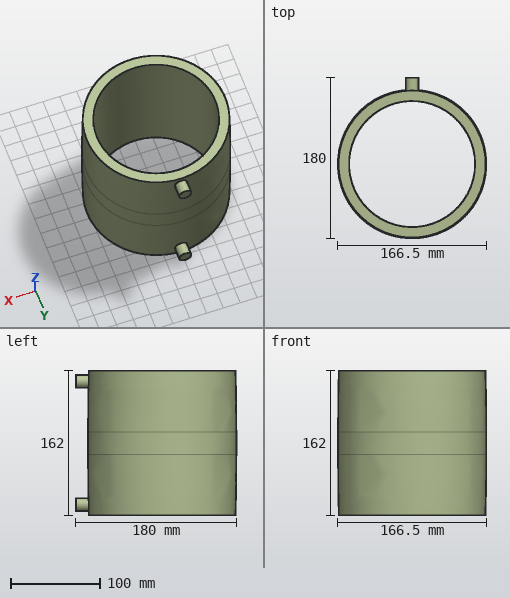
import cadquery as cq

length = 162.0
max_radius = 83.25
end_radius = 82.25
bore_diameter = 140.9
band_height = 25.0

pin_diameter = 14.5
overall_depth = 179.99
pin_end_distance = 12.0

half_length = length / 2
half_band = band_height / 2
bore_radius = bore_diameter / 2
pin_tip_y = overall_depth - max_radius
pin_height = half_length - pin_end_distance


def crown_radius():
    """Radius of a profile arc that leaves the band tangentially and drops to the end radius."""
    drop = max_radius - end_radius
    run = half_length - half_band
    return (run**2 + drop**2) / (2 * drop)


def make_barrel():
    """Revolve the wall section: straight bore, straight band, crowned outside above and below."""
    return (
        cq.Workplane("XZ")
        .moveTo(bore_radius, -half_length)
        .lineTo(end_radius, -half_length)
        .radiusArc((max_radius, -half_band), -crown_radius())
        .lineTo(max_radius, half_band)
        .radiusArc((end_radius, half_length), -crown_radius())
        .lineTo(bore_radius, half_length)
        .close()
        .revolve(360, (0, 0, 0), (0, 1, 0))
    )


def make_pin(z):
    """Round pin along +Y, rooted in the middle of the sleeve wall."""
    root_y = (bore_radius + end_radius) / 2
    return (
        cq.Workplane("XZ", origin=(0, root_y, z))
        .circle(pin_diameter / 2)
        .extrude(root_y - pin_tip_y)
    )


result = make_barrel()
for z in (-pin_height, pin_height):
    result = result.union(make_pin(z))